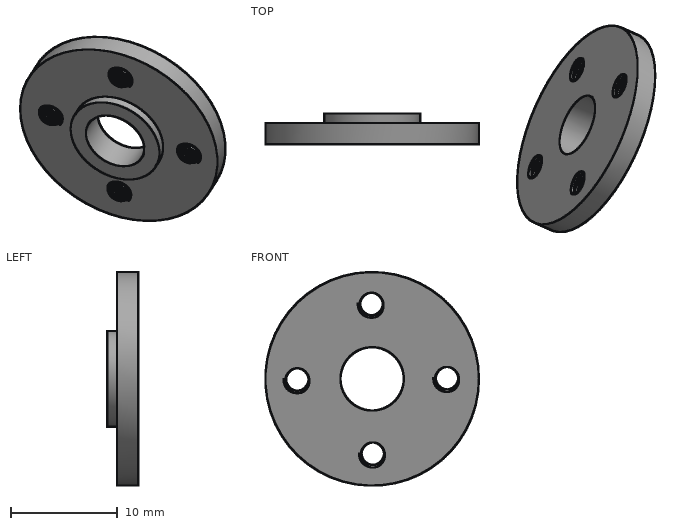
import cadquery as cq
import math

disc_diameter = 20.0
disc_thickness = 2.0
boss_diameter = 9.0
boss_height = 0.9
bore_diameter = 5.9

hole_count = 4
hole_circle_radius = 7.0
hole_pattern_angle = 0.5

thread_minor_radius = 2.08 / 2
thread_major_radius = 2.58 / 2
thread_pitch = 0.45
crest_width = 0.125
root_width = 0.045
groove_start_angle = -90.0
groove_inner_overlap = 0.03
hole_overshoot = 1.0
end_turns = 2


def cylinder_along_y(diameter, length):
    """Cylinder running from Y = 0 to Y = length."""
    return cq.Workplane("XZ").circle(diameter / 2).extrude(-length)


def make_flange():
    total_length = disc_thickness + boss_height
    disc = cylinder_along_y(disc_diameter, disc_thickness)
    boss = cylinder_along_y(boss_diameter, total_length)
    bore = cylinder_along_y(bore_diameter, total_length)
    return disc.union(boss).cut(bore)


def make_groove_tool():
    """Helical groove about Z, centred on +X at Z = 0."""
    lead_in = end_turns * thread_pitch
    helix_height = disc_thickness + 2 * lead_in
    half_root = root_width / 2
    half_mouth = (thread_pitch - crest_width) / 2
    flank_slope = (half_mouth - half_root) / (thread_major_radius - thread_minor_radius)
    inner_radius = thread_minor_radius - groove_inner_overlap
    inner_half_width = half_mouth + flank_slope * groove_inner_overlap
    helix = cq.Wire.makeHelix(thread_pitch, helix_height, thread_major_radius)
    profile = cq.Workplane("XZ").polyline([
        (inner_radius, -inner_half_width),
        (thread_major_radius, -half_root),
        (thread_major_radius, half_root),
        (inner_radius, inner_half_width),
    ]).close()
    return profile.sweep(cq.Workplane(helix), isFrenet=True).translate((0, 0, -lead_in))


def make_thread_tool():
    """Groove cutter about Y, with the flat face of the disc at Y = 0."""
    turned_groove = make_groove_tool().rotate((0, 0, 0), (0, 0, 1), -groove_start_angle)
    return turned_groove.rotate((0, 0, 0), (1, 0, 0), -90)


def cut_threaded_holes(body):
    hole_length = disc_thickness + 2 * hole_overshoot
    hole = cylinder_along_y(2 * thread_minor_radius, hole_length).translate((0, -hole_overshoot, 0))
    groove = make_thread_tool()
    for index in range(hole_count):
        angle = math.radians(hole_pattern_angle + index * 360 / hole_count)
        centre = (hole_circle_radius * math.cos(angle), 0, hole_circle_radius * math.sin(angle))
        body = body.cut(groove.translate(centre)).cut(hole.translate(centre))
    return body


result = cut_threaded_holes(make_flange())